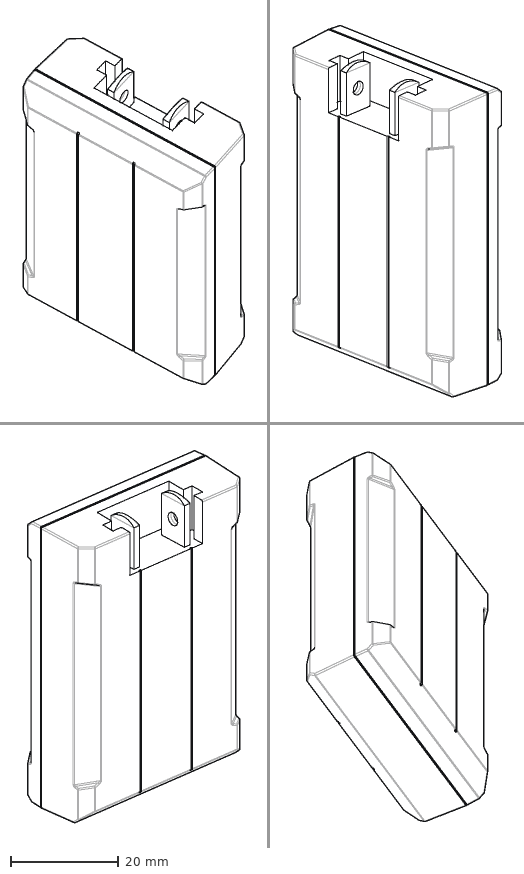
import cadquery as cq
import math

WIDTH = 41.5
BODY_HEIGHT = 60.1
BLADE_TOP = 60.3
FRONT_DEPTH = 6.35
BACK_DEPTH = 11.9
DRAFT = math.tan(math.radians(2.4))
EDGE_RADIUS = 0.3
FACE_HALF_WIDTH = 17.85
END_CHAMFER_RISE = 3.2
FRONT_SIDE_CHAMFER = 2.35
BACK_SIDE_CHAMFER = 2.05
FRONT_END_CHAMFER = 3.4
BACK_END_CHAMFER = 3.15

PANEL_FACE_HALF_WIDTH = 16.4
FRONT_PANEL_DEPTH = 3.3
BACK_PANEL_DEPTH = 3.2
PANEL_HALF_HEIGHT_SIDE = 21.7
PANEL_HALF_HEIGHT_FACE = 20.9
PANEL_OVERRUN = 1.8
PANEL_WALL_ANGLE = 25.0
PANEL_CUT_HEIGHT = 2.4

SEAM_LINE_WIDTH = 0.25
SEAM_LINE_DEPTH = 0.1

GROOVE_X = 6.4
GROOVE_WIDTH = 0.4
GROOVE_DEPTH = 0.3

SLOT_DEPTH_Z = 9.65
SLOT_MOUTH_HALF_WIDTH = 9.1
SLOT_INNER_HALF_WIDTH = 9.0
SLOT_RAIL_HALF_WIDTH = 11.2
SLOT_RAIL_START = 2.4
SLOT_RAIL_END = 5.25
SLOT_END = 9.3

BLADE_X = 6.35
BLADE_THICKNESS = 1.45
BLADE_LENGTH = 6.4
BLADE_SETBACK = 4.4
BLADE_CROWN = 0.95
BLADE_BEVEL = 0.3
BLADE_HOLE_RADIUS = 1.3
BLADE_HOLE_Z = 55.15

HALF_WIDTH = WIDTH / 2
MID_Z = BODY_HEIGHT / 2
SLOT_FLOOR = BODY_HEIGHT - SLOT_DEPTH_Z
BLADE_Y = BACK_DEPTH - BLADE_SETBACK


def shell_blank(side, depth, side_chamfer, end_chamfer):
    """Drafted, chamfered half; side is -1 for the front and +1 for the back.

    The top end of the back half is left without an end chamfer.
    """
    face_y = side * depth
    side_run = depth - side_chamfer
    half = HALF_WIDTH - DRAFT * side_run
    plan = (
        cq.Workplane("XY")
        .polyline([
            (-HALF_WIDTH, 0), (-half, side * side_run), (-FACE_HALF_WIDTH, face_y),
            (FACE_HALF_WIDTH, face_y), (half, side * side_run), (HALF_WIDTH, 0),
        ])
        .close()
        .extrude(BODY_HEIGHT)
    )
    end_run = depth - end_chamfer
    lean = DRAFT * end_run
    bottom = [(0, 0), (side * end_run, lean), (face_y, END_CHAMFER_RISE)]
    if side < 0:
        top = [(face_y, BODY_HEIGHT - END_CHAMFER_RISE), (side * end_run, BODY_HEIGHT - lean)]
    else:
        top = [(face_y, BODY_HEIGHT - DRAFT * depth)]
    outline = bottom + top + [(0, BODY_HEIGHT)]
    profile = cq.Workplane("YZ").polyline(outline).close().extrude(HALF_WIDTH, both=True)
    return plan.intersect(profile)


def panel_cutter(x_side, y_side, depth, panel_depth):
    """Tapered block standing on the panel floor, its long edges past the shell."""
    side_y = depth - panel_depth
    side_x = HALF_WIDTH - DRAFT * side_y
    run_x = side_x - PANEL_FACE_HALF_WIDTH
    span = math.hypot(run_x, panel_depth)
    slope = (PANEL_HALF_HEIGHT_SIDE - PANEL_HALF_HEIGHT_FACE) / span
    near = PANEL_HALF_HEIGHT_SIDE + slope * PANEL_OVERRUN
    far = PANEL_HALF_HEIGHT_FACE - slope * PANEL_OVERRUN
    floor = cq.Plane(
        origin=(x_side * side_x, y_side * side_y, MID_Z),
        xDir=(-x_side * run_x, y_side * panel_depth, 0),
        normal=(x_side * panel_depth, y_side * run_x, 0),
    )
    return (
        cq.Workplane(floor)
        .polyline([
            (-PANEL_OVERRUN, -near), (span + PANEL_OVERRUN, -far),
            (span + PANEL_OVERRUN, far), (-PANEL_OVERRUN, near),
        ])
        .close()
        .extrude(PANEL_CUT_HEIGHT, taper=-PANEL_WALL_ANGLE)
    )


def cut_panels(shell, y_side, depth, panel_depth):
    for x_side in (-1, 1):
        shell = shell.cut(panel_cutter(x_side, y_side, depth, panel_depth))
    return shell


def round_outer_edges(shell, seam_face):
    """Round every edge except those around the flat seam face."""
    seam_edges = shell.faces(seam_face).edges().vals()
    outer = [e for e in shell.edges().vals() if not any(e.isSame(s) for s in seam_edges)]
    return shell.newObject(outer).fillet(EDGE_RADIUS)


def cut_grooves(shell, face_y):
    for x in (-GROOVE_X, GROOVE_X):
        shell = shell.cut(
            cq.Workplane("XY").box(GROOVE_WIDTH, 2 * GROOVE_DEPTH, BODY_HEIGHT)
            .translate((x, face_y, MID_Z))
        )
    return shell


def slot_step(half_width, reach):
    """Part of the slot, running from the back face to the given reach."""
    return (
        cq.Workplane("XY", origin=(0, BACK_DEPTH - reach / 2, SLOT_FLOOR))
        .rect(2 * half_width, reach)
        .extrude(SLOT_DEPTH_Z)
    )


def cut_seam_line(shell):
    """Shallow step around the seam edge of the front shell."""
    core_width = WIDTH - 2 * SEAM_LINE_DEPTH
    core_height = BODY_HEIGHT - 2 * SEAM_LINE_DEPTH
    seam = cq.Workplane("XZ", origin=(0, 0, MID_Z))
    ring = (
        seam.rect(WIDTH, BODY_HEIGHT).rect(core_width, core_height).extrude(SEAM_LINE_WIDTH)
    )
    return shell.cut(ring)


def make_front_shell():
    shell = shell_blank(-1, FRONT_DEPTH, FRONT_SIDE_CHAMFER, FRONT_END_CHAMFER)
    shell = cut_panels(shell, -1, FRONT_DEPTH, FRONT_PANEL_DEPTH)
    shell = round_outer_edges(shell, ">Y")
    shell = cut_grooves(shell, -FRONT_DEPTH)
    return cut_seam_line(shell)


def make_back_shell():
    shell = shell_blank(1, BACK_DEPTH, BACK_SIDE_CHAMFER, BACK_END_CHAMFER)
    shell = cut_panels(shell, 1, BACK_DEPTH, BACK_PANEL_DEPTH)
    shell = round_outer_edges(shell, "<Y")
    shell = cut_grooves(shell, BACK_DEPTH)
    rail = slot_step(SLOT_RAIL_HALF_WIDTH, SLOT_RAIL_END).cut(
        slot_step(SLOT_RAIL_HALF_WIDTH, SLOT_RAIL_START)
    )
    mouth = slot_step(SLOT_MOUTH_HALF_WIDTH, SLOT_RAIL_END)
    inner = slot_step(SLOT_INNER_HALF_WIDTH, SLOT_END)
    return shell.cut(rail).cut(mouth).cut(inner)


def make_blade(x):
    """Upright blade with an arched, bevelled top and a round cross hole."""
    half_length = BLADE_LENGTH / 2
    half_thickness = BLADE_THICKNESS / 2
    shoulder = BLADE_TOP - BLADE_CROWN
    arched = (
        cq.Workplane("YZ")
        .moveTo(-half_length, SLOT_FLOOR)
        .lineTo(-half_length, shoulder)
        .threePointArc((0, BLADE_TOP), (half_length, shoulder))
        .lineTo(half_length, SLOT_FLOOR)
        .close()
        .extrude(half_thickness, both=True)
    )
    bevelled = (
        cq.Workplane("XZ")
        .polyline([
            (-half_thickness, SLOT_FLOOR), (-half_thickness, shoulder),
            (BLADE_BEVEL - half_thickness, BLADE_TOP), (half_thickness - BLADE_BEVEL, BLADE_TOP),
            (half_thickness, shoulder), (half_thickness, SLOT_FLOOR),
        ])
        .close()
        .extrude(half_length, both=True)
    )
    hole = (
        cq.Workplane("YZ")
        .center(0, BLADE_HOLE_Z)
        .circle(BLADE_HOLE_RADIUS)
        .extrude(BLADE_THICKNESS, both=True)
    )
    return arched.intersect(bevelled).cut(hole).translate((x, BLADE_Y, 0))


front_shell = make_front_shell()
back_shell = make_back_shell()
blades = [make_blade(x) for x in (-BLADE_X, BLADE_X)]

result = cq.Compound.makeCompound(
    [front_shell.val(), back_shell.val(), *[blade.val() for blade in blades]]
)